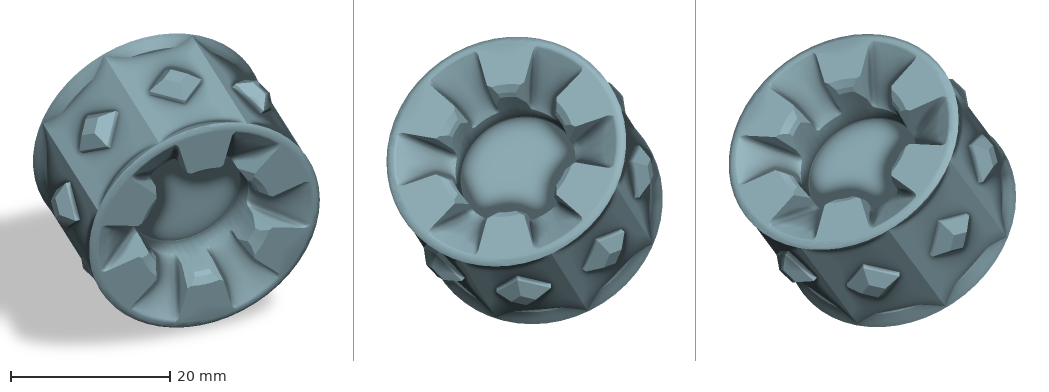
import cadquery as cq
import math

OVERALL_DIAMETER = 32.52
WHEEL_WIDTH = 21.05

SIDES = 8
BARREL_APOTHEM = 14.2
BARREL_TILT = 0.5
STUD_BASE_HALF_DIAGONAL = 3.5
STUD_TOP_HALF_DIAGONAL = 1.6
STUD_STRAIGHT_HEIGHT = 0.62
STUD_EMBED = 0.33

RIM_RADIUS = 15.48
RIM_ROOT_RADIUS = 14.55
RIM_WIDTH = 2.15
RIM_EDGE_INSET = 0.4
FACE_RADIUS = 14.5

BORE_RADIUS = 15.5 / 2
BORE_DEPTH = 8.35
BORE_FLOOR_CHAMFER = 0.1
MOUTH_RADIUS = 8.95
MOUTH_STEP_RADIUS = 8.1
MOUTH_STEP_DEPTH = 0.7
MOUTH_DEPTH = 1.35

POCKETS = 6
POCKET_LEAN = 40.2
POCKET_INNER_RADIUS = 5.2
POCKET_FILLET = 0.5

FACET_RADIUS_ON_FACE = 9.0
FACET_RADIUS_ON_WALL = 7.48
FACET_DEPTH_ON_WALL = 3.25
FACET_RADIUS_AT_BORE = 7.75
FACET_OFFSET_AT_BORE = 1.15

FACE_X = -WHEEL_WIDTH / 2
RIM_EDGE_X = FACE_X + RIM_EDGE_INSET
RIM_ROOT_X = FACE_X + RIM_WIDTH
FLOOR_X = FACE_X + BORE_DEPTH
TILT = math.radians(BARREL_TILT)
STUD_TIP = (OVERALL_DIAMETER / 2 - STUD_TOP_HALF_DIAGONAL * math.sin(TILT)) / math.cos(TILT)
STUD_SHOULDER = BARREL_APOTHEM + STUD_STRAIGHT_HEIGHT
POCKET_PITCH = 360 / POCKETS
SECTOR_ANGLE = POCKET_PITCH / 2
SECTOR_SLOPE = math.tan(math.radians(SECTOR_ANGLE / 2))
CLEARANCE = 1.63


def revolve_about_x(profile, angle=360):
    return profile.revolve(angle, (0, 0, 0), (1, 0, 0))


def turned(solid, angle):
    return solid.rotate((0, 0, 0), (1, 0, 0), angle)


def barrel():
    """Eight-sided prism that reaches the widest circle of both rims."""
    corner_diameter = 2 * BARREL_APOTHEM / math.cos(math.pi / SIDES)
    prism = (
        cq.Workplane("YZ", origin=(RIM_EDGE_X, 0, 0))
        .polygon(SIDES, corner_diameter)
        .extrude(-2 * RIM_EDGE_X)
    )
    return turned(prism, 180 / SIDES + BARREL_TILT)


def diamond_points(half_diagonal):
    return [(half_diagonal, 0), (0, half_diagonal), (-half_diagonal, 0), (0, -half_diagonal)]


def stud():
    """Diamond stud on the top face: a short upright part under a truncated pyramid."""
    root = BARREL_APOTHEM - STUD_EMBED
    base = (
        cq.Workplane("XY", origin=(0, 0, root))
        .polyline(diamond_points(STUD_BASE_HALF_DIAGONAL))
        .close()
        .extrude(STUD_SHOULDER - root)
    )
    tip = (
        cq.Workplane("XY", origin=(0, 0, STUD_SHOULDER))
        .polyline(diamond_points(STUD_BASE_HALF_DIAGONAL))
        .close()
        .workplane(offset=STUD_TIP - STUD_SHOULDER)
        .polyline(diamond_points(STUD_TOP_HALF_DIAGONAL))
        .close()
        .loft(ruled=True)
    )
    return base.union(tip)


def rim():
    """Flared rim at the -X end with a rounded outer lip."""
    profile = (
        cq.Workplane("XY")
        .moveTo(FACE_X, 0)
        .lineTo(FACE_X, FACE_RADIUS)
        .tangentArcPoint((RIM_EDGE_X, RIM_RADIUS), relative=False)
        .lineTo(RIM_ROOT_X, RIM_ROOT_RADIUS)
        .lineTo(RIM_ROOT_X, 0)
        .close()
    )
    return revolve_about_x(profile)


def bore_cutter():
    """Blind round bore with a two-step conical mouth."""
    profile = (
        cq.Workplane("XY")
        .moveTo(FACE_X, 0)
        .lineTo(FACE_X, MOUTH_RADIUS)
        .lineTo(FACE_X + MOUTH_STEP_DEPTH, MOUTH_STEP_RADIUS)
        .lineTo(FACE_X + MOUTH_DEPTH, BORE_RADIUS)
        .lineTo(FLOOR_X - BORE_FLOOR_CHAMFER, BORE_RADIUS)
        .lineTo(FLOOR_X, BORE_RADIUS - BORE_FLOOR_CHAMFER)
        .lineTo(FLOOR_X, 0)
        .close()
    )
    return revolve_about_x(profile)


def pocket_cutter():
    """Conical sector centred on +Y, rounded over where its floor meets the end face."""
    round_centre_x = FACE_X + POCKET_FILLET

    def round_point(angle):
        return (
            round_centre_x - POCKET_FILLET * math.cos(angle),
            FACE_RADIUS - POCKET_FILLET * math.sin(angle),
        )

    lean = math.radians(POCKET_LEAN)
    floor_x, floor_radius = round_point(lean)
    inner_x = floor_x + (floor_radius - POCKET_INNER_RADIUS) * math.tan(lean)
    profile = (
        cq.Workplane("XY")
        .moveTo(inner_x, POCKET_INNER_RADIUS)
        .lineTo(floor_x, floor_radius)
        .threePointArc(round_point(lean / 2), round_point(0))
        .lineTo(FACE_X - CLEARANCE, FACE_RADIUS)
        .lineTo(FACE_X - CLEARANCE, POCKET_INNER_RADIUS)
        .close()
    )
    sector = turned(revolve_about_x(profile, SECTOR_ANGLE), -SECTOR_ANGLE / 2)
    return sector.faces("%CONE").edges("%LINE").fillet(POCKET_FILLET)


def facet_cutter():
    """Space inside the sloped plane on one corner of the tooth centred on +Y."""
    on_face = cq.Vector(FACE_X, FACET_RADIUS_ON_FACE, FACET_RADIUS_ON_FACE * SECTOR_SLOPE)
    on_wall = cq.Vector(
        FACE_X + FACET_DEPTH_ON_WALL,
        FACET_RADIUS_ON_WALL,
        FACET_RADIUS_ON_WALL * SECTOR_SLOPE,
    )
    at_bore = cq.Vector(FACE_X + MOUTH_DEPTH, FACET_RADIUS_AT_BORE, FACET_OFFSET_AT_BORE)
    inward = (at_bore - on_face).cross(on_wall - on_face)
    if inward.y > 0:
        inward = -inward
    plane = cq.Plane(origin=on_face, xDir=on_wall - on_face, normal=inward)
    half_space = cq.Workplane(plane).rect(OVERALL_DIAMETER, OVERALL_DIAMETER).extrude(OVERALL_DIAMETER)
    tooth_sector = (
        cq.Workplane("YZ", origin=(FACE_X, 0, 0))
        .lineTo(RIM_RADIUS, -RIM_RADIUS * SECTOR_SLOPE)
        .lineTo(RIM_RADIUS, RIM_RADIUS * SECTOR_SLOPE)
        .close()
        .extrude(BORE_DEPTH - BORE_FLOOR_CHAMFER)
    )
    return tooth_sector.intersect(half_space)


def recess_cutter():
    """Everything removed from the -X end."""
    cutter = bore_cutter()
    pocket = pocket_cutter()
    facet = facet_cutter()
    tooth_corners = facet.union(facet.mirror("XY"))
    for index in range(POCKETS):
        angle = index * POCKET_PITCH
        cutter = cutter.union(turned(pocket, angle))
        cutter = cutter.union(turned(tooth_corners, angle + SECTOR_ANGLE))
    return cutter


wheel = barrel().union(rim()).union(rim().mirror("YZ"))
for index in range(SIDES):
    wheel = wheel.union(turned(stud(), BARREL_TILT + index * 360 / SIDES))
recess = recess_cutter()
result = wheel.cut(recess).cut(recess.mirror("YZ"))